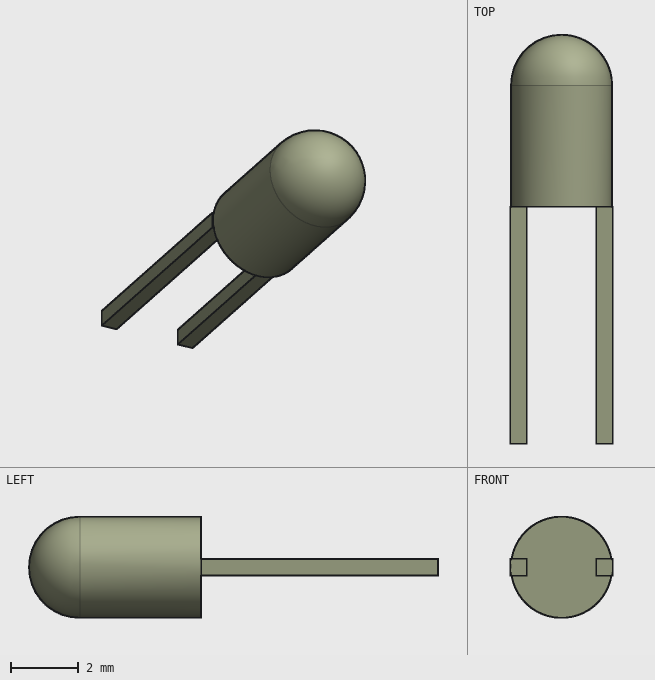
import cadquery as cq

TOTAL_LENGTH = 12.1
LENS_DIAMETER = 3.0
LEAD_LENGTH = 7.0
LEAD_THICKNESS = 0.5
LEAD_PITCH = 2.54

LENS_RADIUS = LENS_DIAMETER / 2
LENS_LENGTH = TOTAL_LENGTH - LEAD_LENGTH
BARREL_LENGTH = LENS_LENGTH - LENS_RADIUS


def make_lens():
    """Cylindrical barrel with a hemispherical dome, revolved about the Y axis."""
    dome_middle = LENS_RADIUS * 0.5 ** 0.5
    return (
        cq.Workplane("XY")
        .lineTo(LENS_RADIUS, 0)
        .lineTo(LENS_RADIUS, BARREL_LENGTH)
        .threePointArc((dome_middle, BARREL_LENGTH + dome_middle), (0, LENS_LENGTH))
        .close()
        .revolve(360, (0, 0, 0), (0, 1, 0))
    )


def make_lead(center_x):
    """Straight square lead that touches the flat base of the lens."""
    return (
        cq.Workplane("XY")
        .box(LEAD_THICKNESS, LEAD_LENGTH, LEAD_THICKNESS)
        .translate((center_x, -LEAD_LENGTH / 2, 0))
    )


lens = make_lens()
leads = [make_lead(side * LEAD_PITCH / 2) for side in (-1, 1)]

result = cq.Compound.makeCompound([lens.val(), *[lead.val() for lead in leads]])